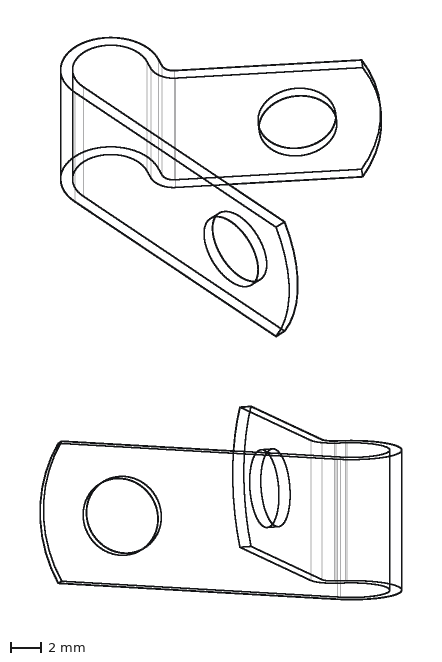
import cadquery as cq
import math

thickness = 0.8
width = 9.5
hole_diameter = 5.2
hole_to_tip = 5.6
tip_radius = 9.5

loop_outer_radius = 3.35
loop_inner_radius = loop_outer_radius - thickness
neck_angle = 24.0
neck_length = 0.72
bend_inner_radius = 0.8
bend_outer_radius = bend_inner_radius + thickness
arm_angle = 51.2

overall_length = 24.0
overall_height = 17.1
flat_arm_reach = overall_length - loop_outer_radius
raised_arm_height = overall_height - loop_outer_radius


def polar(center, radius, angle):
    """Point at a radius and an angle in degrees from a center."""
    turn = math.radians(angle)
    return (center[0] + radius * math.cos(turn), center[1] + radius * math.sin(turn))


loop_center = (0.0, 0.0)
neck_normal = 90.0 - neck_angle
arm_normal = arm_angle - 90.0
flat_normal = -90.0
loop_middle = (neck_normal + flat_normal + 360.0) / 2
bend_middle = (neck_normal - 180.0 + arm_normal) / 2

neck_end = polar(polar(loop_center, loop_outer_radius, neck_normal), neck_length, -neck_angle)
bend_center = polar(neck_end, bend_inner_radius, neck_normal)

arm_start = polar(bend_center, bend_inner_radius, arm_normal)
arm_length = (raised_arm_height - arm_start[1]) / math.sin(math.radians(arm_angle))
arm_tip = polar(arm_start, arm_length, arm_angle)


def make_bent_strip():
    """Constant-thickness strip with square ends, extruded across its width."""
    flat_start = polar(loop_center, loop_outer_radius, flat_normal)
    flat_tip = (flat_arm_reach, -loop_outer_radius)
    return (
        cq.Workplane("XY")
        .workplane(offset=-width / 2)
        .moveTo(*flat_tip)
        .lineTo(*flat_start)
        .threePointArc(
            polar(loop_center, loop_outer_radius, loop_middle),
            polar(loop_center, loop_outer_radius, neck_normal),
        )
        .lineTo(*neck_end)
        .threePointArc(polar(bend_center, bend_inner_radius, bend_middle), arm_start)
        .lineTo(*arm_tip)
        .lineTo(*polar(arm_tip, thickness, arm_normal))
        .lineTo(*polar(bend_center, bend_outer_radius, arm_normal))
        .threePointArc(
            polar(bend_center, bend_outer_radius, bend_middle),
            polar(bend_center, bend_outer_radius, neck_normal - 180.0),
        )
        .lineTo(*polar(loop_center, loop_inner_radius, neck_normal))
        .threePointArc(
            polar(loop_center, loop_inner_radius, loop_middle),
            polar(loop_center, loop_inner_radius, flat_normal),
        )
        .lineTo(flat_arm_reach, -loop_inner_radius)
        .close()
        .extrude(width)
    )


def finish_arm_end(strip, tip, angle):
    """Round the end of an arm and drill its hole.

    The tip lies on the arm's outer face and the angle is the arm's direction.
    """
    along = polar((0.0, 0.0), 1.0, angle)
    across = (along[1], -along[0], 0.0)
    face = cq.Plane(origin=(tip[0], tip[1], 0.0), xDir=(along[0], along[1], 0.0), normal=across)
    half_width = width / 2
    corner_setback = tip_radius - math.sqrt(tip_radius**2 - half_width**2)
    waste = (
        cq.Workplane(face)
        .moveTo(-corner_setback, -half_width)
        .threePointArc((0.0, 0.0), (-corner_setback, half_width))
        .lineTo(thickness, half_width)
        .lineTo(thickness, -half_width)
        .close()
        .extrude(thickness, both=True)
    )
    hole = (
        cq.Workplane(face)
        .center(-hole_to_tip, 0.0)
        .circle(hole_diameter / 2)
        .extrude(thickness, both=True)
    )
    return strip.cut(waste).cut(hole)


result = make_bent_strip()
result = finish_arm_end(result, (flat_arm_reach, -loop_outer_radius), 0.0)
result = finish_arm_end(result, arm_tip, arm_angle)